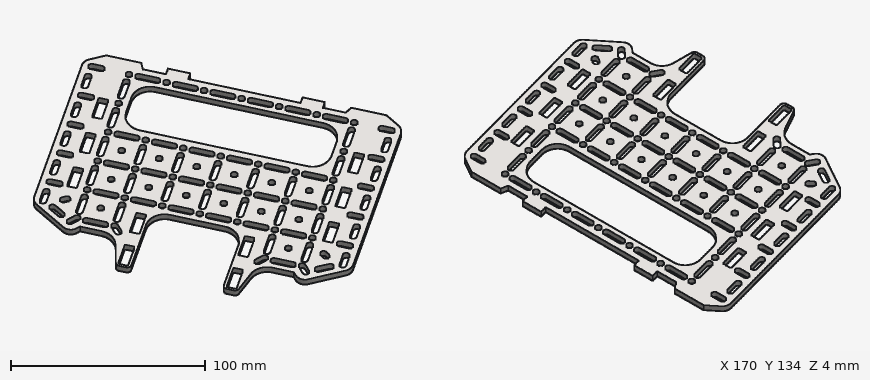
import cadquery as cq

length = 170.0
depth = 134.0
thickness = 4.0
half_length = length / 2
back_y = depth / 2
front_y = -depth / 2

back_rail_y = 63.0
back_corner_x = 74.6
back_corner_y = 60.4
raised_end_x = 56.0
rail_start_x = 54.0
tab_outer_x = 41.8
tab_inner_x = 30.0
front_corner_y = -37.0
lobe_tip = (61.4, -52.0)
lobe_foot_x = 57.0
shelf_y = -47.0
leg_root_x = 38.0
leg_foot_x = 32.3
leg_inner_x = 24.6
bay_y = -27.0

side_radius = 5.6
lobe_radius = 5.3
leg_root_radius = 9.9
foot_radius = 2.2
bay_radius = 10.0

window_length = 109.5
window_depth = 30.0
window_y = 38.2
window_radius = 10.0

columns = 6
rows = 5
grid_length = 120.0
pitch = grid_length / columns
grid_back_y = 57.8
slot_width = 3.5
grid_slot_length = 13.5

side_cross_slot_x = 77.4
side_cross_slot_length = 8.7
side_slot_x = 79.9
side_slot_length = 10.0

lobe_slot_angle = 50.0
lobe_slot_length = 8.0
lobe_slot_offset = 11.4
lobe_slot_y = -43.4
bevel_slot_center = (71.2, -40.0)
bevel_slot_length = 10.2
bevel_slot_angle = 32.0
short_slot_center = (69.2, -31.5)
short_slot_length = 5.6
short_slot_angle = 35.0

strap_slot_width = 5.3
strap_slot_length = 13.3
strap_slot_radius = 0.7
strap_slot_x = 68.2
strap_slot_y = 8.0
strap_slot_pitch = 24.0
leg_slot_x = 28.9
leg_slot_back_y = -36.9
leg_slot_front_y = -59.0


def column_x(column):
    """X of a grid line, counted from the left; halves give cell middles."""
    return -grid_length / 2 + column * pitch


def row_y(row):
    """Y of a grid line, counted from the back; halves give cell middles."""
    return grid_back_y - row * pitch


def both_sides(points):
    """Each point together with its mirror image across the YZ plane."""
    return [(side * x, y) for x, y in points for side in (-1, 1)]


def plate():
    """Outer shape with its rounded corners."""
    half_outline = [
        (tab_inner_x, back_rail_y),
        (tab_inner_x, back_y),
        (tab_outer_x, back_y),
        (tab_outer_x, back_rail_y),
        (rail_start_x, back_rail_y),
        (raised_end_x, back_y),
        (back_corner_x, back_y),
        (half_length, back_corner_y),
        (half_length, front_corner_y),
        lobe_tip,
        (lobe_foot_x, shelf_y),
        (leg_root_x, shelf_y),
        (leg_foot_x, front_y),
        (leg_inner_x, front_y),
        (leg_inner_x, bay_y),
    ]
    left_half = [(-x, y) for x, y in half_outline]
    body = cq.Workplane("XY").polyline(left_half + half_outline[::-1]).close().extrude(thickness)

    rounded_corners = [
        ((half_length, back_corner_y), side_radius),
        ((half_length, front_corner_y), side_radius),
        (lobe_tip, lobe_radius),
        ((leg_root_x, shelf_y), leg_root_radius),
        ((leg_foot_x, front_y), foot_radius),
        ((leg_inner_x, front_y), foot_radius),
        ((leg_inner_x, bay_y), bay_radius),
    ]
    for corner, radius in rounded_corners:
        for x, y in both_sides([corner]):
            edge = cq.NearestToPointSelector((x, y, thickness / 2))
            body = body.edges("|Z").edges(edge).fillet(radius)
    return body


def cut_slots(body, centers, slot_length, angle=0):
    return body.cut(
        cq.Workplane("XY").pushPoints(centers).slot2D(slot_length, slot_width, angle).extrude(thickness)
    )


def cut_mirrored_slot(body, center, slot_length, left_angle):
    """One slanted slot on the left and its mirror image on the right."""
    x, y = center
    body = cut_slots(body, [(-x, y)], slot_length, left_angle)
    return cut_slots(body, [(x, y)], slot_length, -left_angle)


def cut_rectangles(body, centers, x_size, y_size, radius):
    cutter = cq.Workplane("XY").pushPoints(centers).rect(x_size, y_size).extrude(thickness)
    return body.cut(cutter.edges("|Z").fillet(radius))


def cut_grid(body):
    """Slots on the grid lines, holes at the crossings and in the cell middles."""
    all_lines = range(columns + 1)
    outer_lines = (0, columns)
    all_cells = range(columns)
    outer_cells = (0, columns - 1)

    slots_along_x = {0: all_cells, 2: all_cells, 3: all_cells, 4: all_cells, 5: outer_cells}
    slots_along_y = {
        0: outer_lines,
        1: outer_lines,
        2: all_lines,
        3: all_lines,
        4: (0, 1, columns - 1, columns),
    }
    crossings = {0: all_lines, 1: outer_lines, 2: all_lines, 3: all_lines, 4: all_lines}
    cell_holes = {2: all_cells, 3: all_cells, 4: outer_cells}

    x_centers = [(column_x(c + 0.5), row_y(r)) for r, cells in slots_along_x.items() for c in cells]
    y_centers = [(column_x(c), row_y(r + 0.5)) for r, lines in slots_along_y.items() for c in lines]
    holes = [(column_x(c), row_y(r)) for r, lines in crossings.items() for c in lines]
    holes += [(column_x(c + 0.5), row_y(r + 0.5)) for r, cells in cell_holes.items() for c in cells]

    body = cut_slots(body, x_centers, grid_slot_length)
    body = cut_slots(body, y_centers, grid_slot_length, 90)
    return body.cut(cq.Workplane("XY").pushPoints(holes).circle(slot_width / 2).extrude(thickness))


def cut_side_slots(body):
    """Alternating slots along the left and right edges."""
    cross_centers = both_sides([(side_cross_slot_x, row_y(r)) for r in range(rows)])
    body = cut_slots(body, cross_centers, side_cross_slot_length)
    along_centers = both_sides([(side_slot_x, row_y(r + 0.5)) for r in range(rows)])
    return cut_slots(body, along_centers, side_slot_length, 90)


def cut_slanted_slots(body):
    """Slots that follow the front corner bevels and the lobes."""
    cell_middle = -column_x(0.5)
    lobe_outer = (cell_middle + lobe_slot_offset, lobe_slot_y)
    lobe_inner = (cell_middle - lobe_slot_offset, lobe_slot_y)
    body = cut_mirrored_slot(body, lobe_outer, lobe_slot_length, lobe_slot_angle)
    body = cut_mirrored_slot(body, lobe_inner, lobe_slot_length, -lobe_slot_angle)
    body = cut_mirrored_slot(body, bevel_slot_center, bevel_slot_length, -bevel_slot_angle)
    return cut_mirrored_slot(body, short_slot_center, short_slot_length, short_slot_angle)


def cut_strap_slots(body):
    """Rectangular slots near the sides and in the legs."""
    centers = [(strap_slot_x, strap_slot_y + step * strap_slot_pitch) for step in (-1, 0, 1)]
    centers += [(leg_slot_x, leg_slot_back_y), (leg_slot_x, leg_slot_front_y)]
    return cut_rectangles(
        body, both_sides(centers), strap_slot_width, strap_slot_length, strap_slot_radius
    )


result = plate()
result = cut_rectangles(result, [(0, window_y)], window_length, window_depth, window_radius)
result = cut_grid(result)
result = cut_side_slots(result)
result = cut_slanted_slots(result)
result = cut_strap_slots(result)